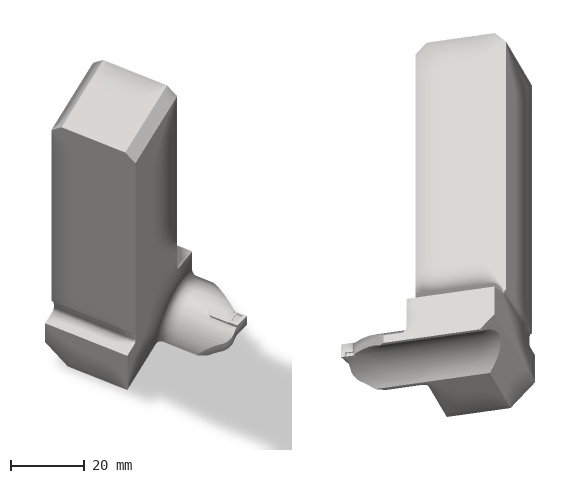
import cadquery as cq
import math

total_height = 99.4
shank_side = 25.5
shank_bottom = 19.2
shank_chamfer = 3.1

head_left = 0.6
head_front = -5.0
head_back = 34.6
neck_front = 0.3
step_height = 15.4
step_fillet = 0.9
ramp_top = 18.0
ramp_fillet = 1.5
heel_chamfer = 6.9
undercut_radius = 1.9

arch_radius = 12.4
arch_center_y = 25.7
arch_top = 5.6
arch_end_height = 2.73

boom_radius = 12.0
boom_top = 9.0
boom_end = 45.3
boom_root_fillet = 1.4
boom_center_z = boom_top - boom_radius
bevel_start = 31.9
bevel_end_x = 42.8
bevel_end_y = 25.9
nose_start_x = 37.2
nose_arc_x = 43.1
nose_arc_y = 16.8
nose_mid_x = 44.5
nose_mid_y = 17.8
nose_end_y = 19.3

bar_start = 37.0
bar_front = 21.6
bar_back = 25.3
bar_top = boom_top
bar_bottom = 6.6
bar_corner = 0.8
tip_start = 43.0
tip_end = 46.4
tip_relief = 0.9
tip_top = 9.3
tip_bottom = 5.4
breaker_depth = 0.3
breaker_rim = 0.5
breaker_front = 22.3


def along_x(start):
    """YZ workplane at the given X."""
    return cq.Workplane("YZ", origin=(start, 0, 0))


def make_shank():
    height = total_height - shank_bottom
    shank = cq.Workplane("XY", origin=(0, 0, shank_bottom)).rect(shank_side, shank_side, centered=False)
    return shank.extrude(height).faces(">Z").edges("|Y").chamfer(shank_chamfer)


def make_head():
    head = (
        along_x(0)
        .moveTo(head_front, 0)
        .lineTo(head_back, 0)
        .lineTo(head_back, step_height)
        .lineTo(shank_side, ramp_top)
        .lineTo(shank_side, shank_bottom)
        .lineTo(neck_front, shank_bottom)
        .lineTo(neck_front, step_height)
        .lineTo(head_front, step_height)
        .close()
        .extrude(shank_side)
    )
    head = head.edges(cq.selectors.NearestToPointSelector((shank_side / 2, neck_front, step_height))).fillet(
        step_fillet
    )
    head = head.edges(cq.selectors.NearestToPointSelector((shank_side / 2, shank_side, ramp_top))).fillet(
        ramp_fillet
    )
    return head


def make_side_relief():
    """Material left off the -X side: heel chamfer, flat and concave undercut below the shank."""
    undercut_angle = math.acos((undercut_radius - head_left) / undercut_radius)
    arc_center_x = head_left - undercut_radius
    undercut_top = ramp_top + undercut_radius * math.sin(undercut_angle)
    arc_mid = (
        arc_center_x + undercut_radius * math.cos(undercut_angle / 2),
        ramp_top + undercut_radius * math.sin(undercut_angle / 2),
    )
    return (
        cq.Workplane("XZ", origin=(0, head_back, 0))
        .moveTo(0, 0)
        .lineTo(head_left + heel_chamfer, 0)
        .lineTo(head_left, heel_chamfer)
        .lineTo(head_left, ramp_top)
        .threePointArc(arc_mid, (0, undercut_top))
        .close()
        .extrude(head_back - head_front)
    )


def make_boom():
    bar = along_x(shank_side).center(arch_center_y, boom_center_z).circle(boom_radius)
    bar = bar.extrude(boom_end - shank_side)
    plan = (
        cq.Workplane("XY")
        .moveTo(shank_side, head_front)
        .lineTo(nose_start_x, head_front)
        .lineTo(nose_start_x, arch_center_y - math.sqrt(boom_radius**2 - boom_center_z**2))
        .lineTo(nose_arc_x, nose_arc_y)
        .threePointArc((nose_mid_x, nose_mid_y), (boom_end, nose_end_y))
        .lineTo(boom_end, bar_back)
        .lineTo(bevel_end_x, bar_back)
        .lineTo(bevel_end_x, bevel_end_y)
        .lineTo(bevel_start, head_back)
        .lineTo(shank_side, head_back)
        .close()
        .extrude(boom_top)
    )
    return bar.intersect(plan).union(make_root_flare())


def make_root_flare():
    """Concave fillet ring between the boom and the head."""
    root = boom_root_fillet
    mid = root * (1 - math.sqrt(0.5))
    flare = (
        cq.Workplane("XY", origin=(shank_side, arch_center_y, boom_center_z))
        .lineTo(0, boom_radius + root)
        .threePointArc((mid, boom_radius + mid), (root, boom_radius))
        .lineTo(root, 0)
        .close()
        .revolve(360, (0, 0, 0), (1, 0, 0))
    )
    flare_limit = cq.Workplane("XY", origin=(shank_side, head_front, 0)).box(
        root, head_back - head_front, shank_bottom, centered=False
    )
    return flare.intersect(flare_limit)


def make_arch():
    """Arched clearance, ending in a narrow flat at the +Y edge."""
    arch_center_z = arch_top - arch_radius
    arch = along_x(0).center(arch_center_y, arch_center_z).circle(arch_radius).extrude(boom_end)
    end_flat = cq.Workplane("XY", origin=(0, arch_center_y, 0)).box(
        boom_end, head_back - arch_center_y, arch_end_height, centered=False
    )
    return arch.union(end_flat)


def make_tip_block(start, bottom):
    """Part of the tip from the given X, with its relieved end face."""
    return (
        cq.Workplane("XY", origin=(0, 0, bottom))
        .moveTo(start, bar_front)
        .lineTo(tip_end - tip_relief, bar_front)
        .lineTo(tip_end, arch_center_y)
        .lineTo(start, arch_center_y)
        .close()
        .extrude(tip_top - bottom)
    )


def make_insert():
    bar = cq.Workplane("XY", origin=(bar_start, bar_front, bar_bottom)).box(
        boom_end - bar_start, bar_back - bar_front, bar_top - bar_bottom, centered=False
    )
    bar = bar.edges("|Z and <X").fillet(bar_corner)
    seat = make_tip_block(tip_start, bar_bottom)
    overhang = make_tip_block(boom_end, tip_bottom)
    return bar.union(seat).union(overhang).cut(make_chip_breaker())


def make_chip_breaker():
    """Shallow recess in the top of the cutting tip."""
    return (
        cq.Workplane("XY", origin=(0, 0, tip_top - breaker_depth))
        .moveTo(tip_start + breaker_rim, breaker_front)
        .lineTo(tip_end - tip_relief - breaker_rim, breaker_front)
        .lineTo(tip_end - 2 * breaker_rim, arch_center_y - breaker_rim)
        .lineTo(tip_start + breaker_rim, arch_center_y - breaker_rim)
        .close()
        .extrude(breaker_depth)
    )


insert = make_insert()
holder = make_shank().union(make_head()).cut(make_side_relief()).union(make_boom()).cut(make_arch()).cut(insert)

result = cq.Compound.makeCompound([holder.val(), insert.val()])